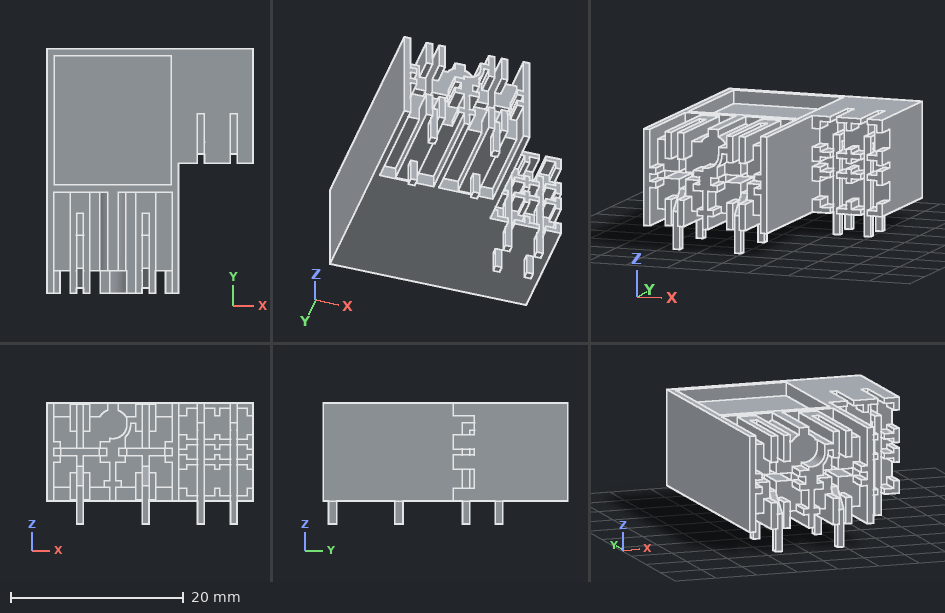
import cadquery as cq

LENGTH = 28.3
TOTAL_WIDTH = 23.83
HEIGHT = 11.35
LEG_DROP = 2.65
MID_Z = HEIGHT / 2

MAIN_WIDTH = 15.23
CENTRE_X = MAIN_WIDTH / 2
WALL = 0.75
SOCKET_DEPTH = 11.7
CORE_FRONT = 2.6
SHELF = 1.58
WINDOW_MARGIN = 0.85
WINDOW_FRONT = 12.55

CONTACT_OFFSET = 3.8
CONTACT_WIDTH = 2.3
CONTACT_INSET = 0.17
PRONG_HEIGHT = 3.1
PIN_WIDTH = 0.8
CONTACT_SLOT_DEPTH = 9.25
CROSS_SLOT_WIDTH = 4.41
CROSS_SLOT_HEIGHT = 0.88

RAIL_THICKNESS = 0.74
WALL_RAIL_REACH = 0.75
WEB_WIDTH = 0.65
NECK_WIDTH = 1.22
WEB_CORE_WIDTH = 1.42
WEB_RAIL_WIDTH = 2.91
FOOT_WIDTH = 1.95

KEY_Z = 8.85
BOSS_RADIUS = 1.75
TROUGH_RADIUS = 1.65
TROUGH_OUTER_RADIUS = 2.07
ARM_THICKNESS = 0.75

PIN_FRONT = 0.6
PIN_LEG = 1.0
PIN_STEP_Y = 6.74
PIN_SLOPE_BACK = 2.9
PIN_SLOPE_LOW = 1.78
PIN_SLOPE_HIGH = 4.05

WING_FRONT = 15.03
WING_POCKET_DEPTH = 2.45
WING_BAR = 0.62
WING_MID_BAR_OFFSET = 1.15
WING_EDGE_TAB = 1.5
WING_MID_TAB = 1.67
WING_TABS = ((MAIN_WIDTH, 16.15), (19.4, 20.0), (23.15, TOTAL_WIDTH))
WING_PIN_PITCH = 3.8
WING_FIRST_PIN_X = 17.8
WING_PIN_XS = (WING_FIRST_PIN_X, WING_FIRST_PIN_X + WING_PIN_PITCH)
WING_SLOT_BACK = 20.77
WING_PIN_FRONT = 16.1
WING_PIN_TOP = 9.08
WING_LEG = 0.88


def box(x0, x1, y0, y1, z0, z1):
    return cq.Workplane("XY").box(x1 - x0, y1 - y0, z1 - z0, centered=False).translate((x0, y0, z0))


def centred_box(x, width, y0, y1, z0, z1):
    return box(x - width / 2, x + width / 2, y0, y1, z0, z1)


def disc(radius, y0, y1):
    plane = cq.Workplane("XZ", origin=(CENTRE_X, y0, KEY_Z))
    return plane.circle(radius).extrude(-(y1 - y0))


def side_plate(x, width, points):
    plane = cq.Workplane("YZ", origin=(x - width / 2, 0, 0))
    return plane.polyline(points).close().extrude(width)


contact_xs = (CENTRE_X - CONTACT_OFFSET, CENTRE_X + CONTACT_OFFSET)
cross_low = MID_Z - CROSS_SLOT_HEIGHT / 2
cross_high = MID_Z + CROSS_SLOT_HEIGHT / 2
shelf_top = HEIGHT - SHELF
wing_upper_bar_z = MID_Z + WING_MID_BAR_OFFSET


def main_housing():
    """Solid rear part, side walls, socket core and the shallow recess on top."""
    body = box(0, MAIN_WIDTH, SOCKET_DEPTH, LENGTH, 0, HEIGHT)
    body = body.union(box(0, WALL, 0, LENGTH, 0, HEIGHT))
    body = body.union(box(MAIN_WIDTH - WALL, MAIN_WIDTH, 0, LENGTH, 0, HEIGHT))
    body = body.union(box(0, MAIN_WIDTH, CORE_FRONT, LENGTH, SHELF, shelf_top))
    window = box(WINDOW_MARGIN, MAIN_WIDTH - WINDOW_MARGIN, WINDOW_FRONT, LENGTH - WINDOW_MARGIN,
                 shelf_top, HEIGHT)
    return body.cut(window)


def rails():
    """Rails on both walls and on the centre web, leaving a groove at mid height."""
    web_top = KEY_Z - TROUGH_RADIUS
    web = centred_box(CENTRE_X, WEB_WIDTH, 0, SOCKET_DEPTH, 0, web_top)
    web = web.union(centred_box(CENTRE_X, WEB_CORE_WIDTH, 0, CORE_FRONT, cross_low, cross_high))
    web = web.union(centred_box(CENTRE_X, FOOT_WIDTH, 0, CORE_FRONT, SHELF, SHELF + RAIL_THICKNESS))
    for z in (cross_low - RAIL_THICKNESS, cross_high):
        top = z + RAIL_THICKNESS
        web = web.union(centred_box(CENTRE_X, WEB_RAIL_WIDTH, 0, CORE_FRONT, z, top))
        web = web.union(box(0, WALL + WALL_RAIL_REACH, 0, CORE_FRONT, z, top))
        web = web.union(box(MAIN_WIDTH - WALL - WALL_RAIL_REACH, MAIN_WIDTH, 0, CORE_FRONT, z, top))
    return web


def key():
    """Round boss with a neck on the core, and the quarter trough in front of it."""
    boss = disc(BOSS_RADIUS, CORE_FRONT, SOCKET_DEPTH)
    boss = boss.union(centred_box(CENTRE_X, NECK_WIDTH, CORE_FRONT, SOCKET_DEPTH, KEY_Z, HEIGHT))

    left = CENTRE_X - WEB_WIDTH / 2
    right = CENTRE_X + WEB_RAIL_WIDTH / 2
    arm_end = contact_xs[1] - PIN_WIDTH / 2
    trough = disc(TROUGH_OUTER_RADIUS, 0, CORE_FRONT)
    trough = trough.intersect(box(left, arm_end, 0, CORE_FRONT, 0, shelf_top - ARM_THICKNESS))
    rib_top = KEY_Z - TROUGH_RADIUS / 2
    trough = trough.union(box(left, right, 0, CORE_FRONT, cross_high, rib_top))
    trough = trough.union(box(CENTRE_X, arm_end, 0, CORE_FRONT, shelf_top - ARM_THICKNESS, shelf_top))
    trough = trough.cut(disc(TROUGH_RADIUS, 0, CORE_FRONT))
    trough = trough.cut(centred_box(CENTRE_X, 2 * TROUGH_RADIUS, 0, CORE_FRONT, KEY_Z, HEIGHT))
    return boss.union(trough)


def contact_block(x):
    """Raised block with an upper and a lower prong reaching the front edge."""
    block = centred_box(x, CONTACT_WIDTH, CORE_FRONT, SOCKET_DEPTH, CONTACT_INSET, HEIGHT - CONTACT_INSET)
    for z in (CONTACT_INSET, HEIGHT - CONTACT_INSET - PRONG_HEIGHT):
        block = block.union(centred_box(x, CONTACT_WIDTH, 0, SOCKET_DEPTH, z, z + PRONG_HEIGHT))
    return block


def contact_slots(x):
    """Upright slot for the pin, crossed by a level slot in the core."""
    upright = centred_box(x, PIN_WIDTH, 0, CONTACT_SLOT_DEPTH, 0, HEIGHT)
    cross = centred_box(x, CROSS_SLOT_WIDTH, CORE_FRONT, PIN_STEP_Y, cross_low, cross_high)
    return upright.union(cross)


def main_pin(x):
    """Flat pin with a sloped nose and two legs."""
    return side_plate(x, PIN_WIDTH, [
        (PIN_FRONT, -LEG_DROP),
        (PIN_FRONT, PIN_SLOPE_LOW),
        (PIN_SLOPE_BACK, PIN_SLOPE_HIGH),
        (PIN_STEP_Y, PIN_SLOPE_HIGH),
        (PIN_STEP_Y, cross_high),
        (CONTACT_SLOT_DEPTH, cross_high),
        (CONTACT_SLOT_DEPTH, -LEG_DROP),
        (CONTACT_SLOT_DEPTH - PIN_LEG, -LEG_DROP),
        (CONTACT_SLOT_DEPTH - PIN_LEG, CONTACT_INSET),
        (PIN_FRONT + PIN_LEG, CONTACT_INSET),
        (PIN_FRONT + PIN_LEG, -LEG_DROP),
    ])


def wing_bars():
    """Lowest and highest level of each bar, then of the tabs standing on it."""
    levels = [
        (0, WING_BAR, 0, WING_EDGE_TAB),
        (HEIGHT - WING_BAR, HEIGHT, HEIGHT - WING_EDGE_TAB, HEIGHT),
    ]
    for z in (MID_Z - WING_MID_BAR_OFFSET, wing_upper_bar_z):
        levels.append((z - WING_BAR / 2, z + WING_BAR / 2, z - WING_MID_TAB / 2, z + WING_MID_TAB / 2))
    return levels


def wing():
    """Side wing with barred front pockets and slots for its two pins."""
    pocket_back = WING_FRONT + WING_POCKET_DEPTH
    body = box(MAIN_WIDTH, TOTAL_WIDTH, pocket_back, LENGTH, 0, HEIGHT)
    for bar_low, bar_high, tab_low, tab_high in wing_bars():
        body = body.union(box(MAIN_WIDTH, TOTAL_WIDTH, WING_FRONT, pocket_back, bar_low, bar_high))
        for x0, x1 in WING_TABS:
            body = body.union(box(x0, x1, WING_FRONT, pocket_back, tab_low, tab_high))
    for x in WING_PIN_XS:
        leg_slot_back = WING_PIN_FRONT + WING_LEG
        arm_slot_floor = wing_upper_bar_z + WING_BAR / 2
        body = body.cut(centred_box(x, PIN_WIDTH, WING_FRONT, leg_slot_back, 0, HEIGHT))
        body = body.cut(centred_box(x, PIN_WIDTH, WING_FRONT, WING_SLOT_BACK, arm_slot_floor, HEIGHT))
        body = body.union(wing_pin(x))
    return body


def wing_pin(x):
    """Staple-shaped pin: an arm along Y with a leg at each end."""
    arm_low = WING_PIN_TOP - WING_LEG
    return side_plate(x, PIN_WIDTH, [
        (WING_PIN_FRONT, -LEG_DROP),
        (WING_PIN_FRONT, WING_PIN_TOP),
        (WING_SLOT_BACK, WING_PIN_TOP),
        (WING_SLOT_BACK, -LEG_DROP),
        (WING_SLOT_BACK - WING_LEG, -LEG_DROP),
        (WING_SLOT_BACK - WING_LEG, arm_low),
        (WING_PIN_FRONT + WING_LEG, arm_low),
        (WING_PIN_FRONT + WING_LEG, -LEG_DROP),
    ])


result = main_housing().union(rails()).union(key()).union(wing())
for contact_x in contact_xs:
    result = result.union(contact_block(contact_x))
    result = result.cut(contact_slots(contact_x))
    result = result.union(main_pin(contact_x))